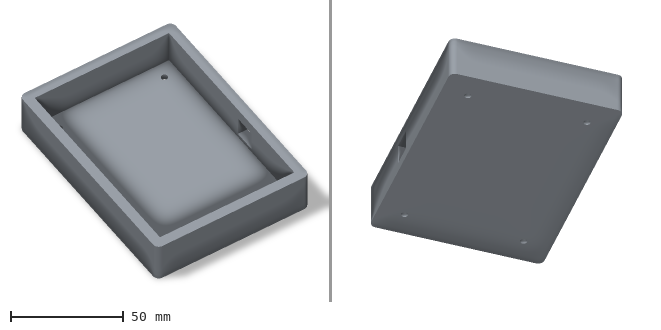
import cadquery as cq

length = 111.0
width = 81.4
height = 20.6
corner_radius = 3.0

wall = 5.0
floor_thickness = 3.0

hole_diameter = 3.2
hole_spacing_x = 86.0
hole_center_y = 0.3
hole_spacing_y = 55.9

opening_width = 11.0
opening_height = 10.0
opening_center_x = 10.5
opening_bottom = 4.9


def tray():
    body = cq.Workplane("XY").box(length, width, height, centered=(True, True, False))
    body = body.edges("|Z").fillet(corner_radius)
    pocket = (
        cq.Workplane("XY", origin=(0, 0, floor_thickness))
        .box(length - 2 * wall, width - 2 * wall, height, centered=(True, True, False))
    )
    return body.cut(pocket)


def mounting_holes():
    return (
        cq.Workplane("XY", origin=(0, hole_center_y, 0))
        .rect(hole_spacing_x, hole_spacing_y, forConstruction=True)
        .vertices()
        .circle(hole_diameter / 2)
        .extrude(height)
    )


def cable_opening():
    return (
        cq.Workplane("XY", origin=(opening_center_x, width / 2, opening_bottom))
        .box(opening_width, 2 * wall, opening_height, centered=(True, True, False))
    )


result = tray().cut(mounting_holes()).cut(cable_opening())